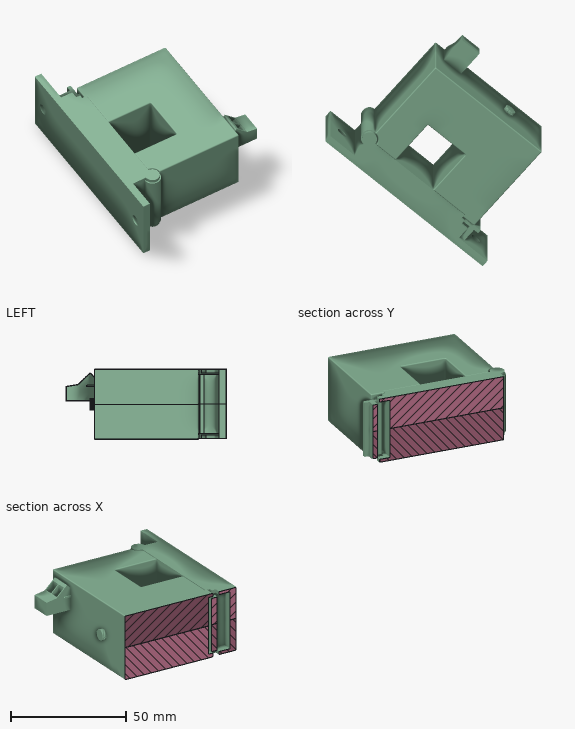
import cadquery as cq


plate_length = 89.7
plate_thickness = 3.3
base_half_height = 15.1
mount_hole_diameter = 4.8
mount_hole_inset = 6.6
seat_y = 13.2
body_left = 21.4
body_right = 75.8
cheek_thickness = 1.6
cheek_left = 16.4
cheek_lower_step_y = 9.0
cheek_upper_step_left = 19.7
cheek_upper_step_y = 10.9

hinge_disk_radius = 3.2
hinge_barrel_radius = 3.8

latch_recess = 2.2
latch_stem_left = 13.3
latch_stem_right = 15.5
latch_bar_left = 10.9
latch_bar_right = 19.1
latch_bar_bottom = 9.8
latch_bar_top = 11.5
latch_tooth_left = 16.95
latch_tooth_tip = 12.9
latch_pocket_side_gap = 0.4
latch_pocket_end_gap = 0.5
latch_pocket_back = 14.35

housing_left = 15.1
housing_right = body_right
housing_foot_y = 12.0
housing_back = 57.4
housing_height = 30.5
housing_top = base_half_height
housing_split = housing_top - housing_height / 2
housing_fillet = 0.5
window_left = 39.45
window_right = 60.9
window_back = 34.8

knob_diameter = 4.9
knob_length = 2.0
knob_x = 34.4
knob_groove_count = 36
knob_groove_diameter = 0.3

connector_left = 61.15
connector_right = 71.0
connector_back = 69.7
connector_bottom = 1.3
connector_end_top = 7.5
slope_foot_y = 64.5
slope_foot_z = 8.4
peak_y = 59.2
peak_z = 13.45
connector_root_z = 11.7
wire_hole_width = 4.1
wire_hole_gap = 0.5
wire_hole_front = 60.4
wire_hole_back = 64.1
key_thickness = 0.5
key_back = 60.8
key_bottom = 7.4
key_top = 8.25
key_chamfer = 0.4


def block(x_min, x_max, y_min, y_max, z_min, z_max):
    """Block between the given limits."""
    corner = cq.Workplane(origin=(x_min, y_min, z_min))
    return corner.box(x_max - x_min, y_max - y_min, z_max - z_min, centered=False)


def hinge_cylinder(radius, half_height):
    """Cylinder on the hinge axis, which lies on the right end of the seat."""
    bottom = cq.Workplane(origin=(body_right, seat_y, -half_height))
    return bottom.circle(radius).extrude(2 * half_height)


def make_cheek(z_min):
    """Stepped plate at one end of the base, beside the latch."""
    outline = [
        (cheek_left, 0),
        (cheek_left, cheek_lower_step_y),
        (cheek_upper_step_left, cheek_lower_step_y),
        (cheek_upper_step_left, cheek_upper_step_y),
        (body_left, cheek_upper_step_y),
        (body_left, 0),
    ]
    return cq.Workplane(origin=(0, 0, z_min)).polyline(outline).close().extrude(cheek_thickness)


def make_latch():
    """T-shaped latch with a tooth that enters a pocket in the foot of the housing."""
    outline = [
        (latch_stem_left, 0),
        (latch_stem_left, latch_bar_bottom),
        (latch_bar_left, latch_bar_bottom),
        (latch_bar_left, latch_bar_top),
        (latch_tooth_left, latch_bar_top),
        (latch_tooth_left, latch_tooth_tip),
        (latch_bar_right, latch_tooth_tip),
        (latch_bar_right, latch_bar_bottom),
        (latch_stem_right, latch_bar_bottom),
        (latch_stem_right, 0),
    ]
    half_height = base_half_height - latch_recess
    return cq.Workplane(origin=(0, 0, -half_height)).polyline(outline).close().extrude(2 * half_height)


def make_whole_base():
    """Plate, body, cheeks, latch and hinge of the base before it is parted."""
    h = base_half_height
    base = block(0, plate_length, 0, plate_thickness, -h, h)
    base = base.union(block(body_left, body_right, 0, seat_y, -h, h))
    for z_min in (-h, h - cheek_thickness):
        base = base.union(make_cheek(z_min))
    base = base.union(make_latch())
    base = base.union(hinge_cylinder(hinge_disk_radius, h))
    base = base.union(hinge_cylinder(hinge_barrel_radius, h - cheek_thickness))
    for x in (mount_hole_inset, plate_length - mount_hole_inset):
        hole = cq.Workplane("XZ", origin=(x, 0, 0)).circle(mount_hole_diameter / 2).extrude(-plate_thickness)
        base = base.cut(hole)
    return base


def make_latch_pocket():
    """Pocket for the latch tooth, open to the foot and to its right end."""
    half_height = base_half_height - latch_recess + latch_pocket_end_gap
    return block(
        latch_tooth_left - latch_pocket_side_gap,
        body_left,
        housing_foot_y,
        latch_pocket_back,
        -half_height,
        half_height,
    )


def make_whole_housing():
    """Housing with its window, hinge socket and latch pocket before it is parted."""
    bottom = housing_top - housing_height
    housing = block(housing_left, housing_right, housing_foot_y, housing_back, bottom, housing_top)
    housing = housing.edges("|Z").fillet(housing_fillet)
    housing = housing.cut(block(body_left, housing_right, housing_foot_y, seat_y, bottom, housing_top))
    window = block(window_left, window_right, housing_foot_y, window_back, bottom, housing_top)
    housing = housing.cut(window.edges("|Z and >Y").fillet(housing_fillet))
    housing = housing.cut(hinge_cylinder(hinge_barrel_radius, housing_height))

    foot_end = cq.selectors.BoxSelector(
        (body_left - housing_fillet, housing_foot_y, bottom - housing_fillet),
        (body_left + housing_fillet, seat_y, housing_top + housing_fillet),
    )
    rims = housing.faces("<Z or >Z").edges()
    rounded_rims = rims.filter(lambda edge: not foot_end.filter([edge]))
    return rounded_rims.fillet(housing_fillet).cut(make_latch_pocket())


def part_at(solid, z):
    """Upper and lower halves of a solid parted at height z."""
    upper, lower = (
        solid.copyWorkplane(cq.Workplane(origin=(0, 0, z))).split(keepTop=top, keepBottom=not top)
        for top in (True, False)
    )
    return upper, lower


def make_knob():
    """Short knob on the back of the housing, with grooves around its rim."""
    plane = cq.Workplane("XZ", origin=(knob_x, housing_back, housing_split))
    knob = plane.circle(knob_diameter / 2).extrude(-knob_length)
    grooves = (
        plane.polarArray(knob_diameter / 2, 0, 360, knob_groove_count)
        .circle(knob_groove_diameter / 2)
        .extrude(-knob_length)
    )
    return knob.cut(grooves)


def slope_z(y):
    """Height of the connector's slope at the given Y."""
    return peak_z - (y - peak_y) * (peak_z - slope_foot_z) / (slope_foot_y - peak_y)


def make_wire_hole(x_min):
    """Wedge with an upright front wall and a floor that runs square to the connector's slope."""
    run = wire_hole_back - wire_hole_front
    back_z = slope_z(wire_hole_back)
    floor_drop = run * (slope_foot_y - peak_y) / (peak_z - slope_foot_z)
    side = [
        (wire_hole_back, back_z),
        (wire_hole_front, back_z - floor_drop),
        (wire_hole_front, slope_z(wire_hole_front)),
    ]
    return cq.Workplane("YZ", origin=(x_min, 0, 0)).polyline(side).close().extrude(wire_hole_width)


def make_connector():
    """Terminal connector with two wire holes in its slope and a key on its left side."""
    side = [
        (housing_back, connector_bottom),
        (connector_back, connector_bottom),
        (connector_back, connector_end_top),
        (slope_foot_y, slope_foot_z),
        (peak_y, peak_z),
        (housing_back, connector_root_z),
    ]
    width = connector_right - connector_left
    connector = cq.Workplane("YZ", origin=(connector_left, 0, 0)).polyline(side).close().extrude(width)

    right_hole_left = (connector_left + connector_right + wire_hole_gap) / 2
    left_hole_left = right_hole_left - wire_hole_gap - wire_hole_width
    for x_min in (left_hole_left, right_hole_left):
        connector = connector.cut(make_wire_hole(x_min))

    key = block(connector_left - key_thickness, connector_left, housing_back, key_back, key_bottom, key_top)
    key = key.edges(">Y and >Z").chamfer(key_chamfer)
    return connector.union(key)


base_upper, base_lower = part_at(make_whole_base(), 0)
housing_upper, housing_lower = part_at(make_whole_housing(), housing_split)
knob = make_knob()
connector = make_connector()

result = cq.Compound.makeCompound(
    [
        base_upper.val(),
        base_lower.val(),
        housing_upper.val(),
        housing_lower.val(),
        knob.val(),
        connector.val(),
    ]
)